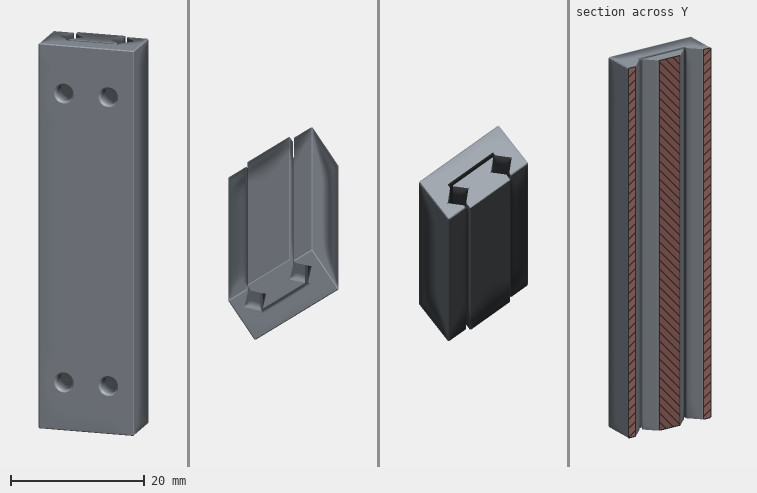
import cadquery as cq
import math

length = 60.0
housing_width = 15.0
housing_height = 7.5
total_height = 8.0
housing_chamfer = 0.15

groove_height = 5.3
relief_width = 0.06

channel_half_width = 4.25
channel_floor = 2.95
channel_groove_depth = 1.75
channel_relief_depth = 0.1

rail_half_width = 3.75
rail_bottom = 3.5
rail_chamfer = 0.1
rail_groove_depth = 1.65
rail_relief_depth = 0.2

hole_diameter = 2.5
hole_depth = 2.5
hole_mouth_diameter = 3.1
hole_spacing_x = 7.0
hole_spacing_z = 45.0


def prism(half_profile):
    """Mirror a +X half profile about the YZ plane and extrude it along Z."""
    mirrored = [(-x, y) for x, y in reversed(half_profile)]
    return cq.Workplane("XY").polyline(half_profile + mirrored).close().extrude(length)


def slotted_groove(wall, apex, relief_end):
    """Half-profile points of a V groove with its relief slot, from bottom to top.

    The groove runs from X = wall to X = apex and the slot on to X = relief_end.
    """
    half_opening = abs(apex - wall)
    half_slot = relief_width / 2
    slot_mouth = apex + math.copysign(half_slot, wall - apex)
    return [
        (wall, groove_height - half_opening),
        (slot_mouth, groove_height - half_slot),
        (relief_end, groove_height - half_slot),
        (relief_end, groove_height + half_slot),
        (slot_mouth, groove_height + half_slot),
        (wall, groove_height + half_opening),
    ]


def make_mounting_hole():
    """Blind hole running along +Y from the origin, with a 45 degree chamfered mouth."""
    bore_radius = hole_diameter / 2
    mouth_radius = hole_mouth_diameter / 2
    return (
        cq.Workplane("XY")
        .moveTo(0, 0)
        .lineTo(mouth_radius, 0)
        .lineTo(bore_radius, mouth_radius - bore_radius)
        .lineTo(bore_radius, hole_depth)
        .lineTo(0, hole_depth)
        .close()
        .revolve(360, (0, 0), (0, 1))
    )


def make_housing():
    """Channel block with a V groove in each inner wall and four mounting holes."""
    housing = (
        cq.Workplane("XY")
        .box(housing_width, housing_height, length, centered=(True, False, False))
        .edges()
        .chamfer(housing_chamfer)
    )
    apex = channel_half_width + channel_groove_depth
    channel = prism([
        (channel_half_width, channel_floor),
        *slotted_groove(channel_half_width, apex, apex + channel_relief_depth),
        (channel_half_width, total_height),
    ])
    housing = housing.cut(channel)
    hole = make_mounting_hole()
    for x in (-hole_spacing_x / 2, hole_spacing_x / 2):
        for z in ((length - hole_spacing_z) / 2, (length + hole_spacing_z) / 2):
            housing = housing.cut(hole.translate((x, 0, z)))
    return housing


def make_rail():
    """Sliding rail with a V groove in each side and chamfered top and bottom faces."""
    apex = rail_half_width - rail_groove_depth
    rail = prism([
        (rail_half_width, rail_bottom),
        *slotted_groove(rail_half_width, apex, apex - rail_relief_depth),
        (rail_half_width, total_height),
    ])
    return rail.faces("<Y or >Y").edges().chamfer(rail_chamfer)


housing = make_housing()
rail = make_rail()

result = cq.Compound.makeCompound([housing.val(), rail.val()])